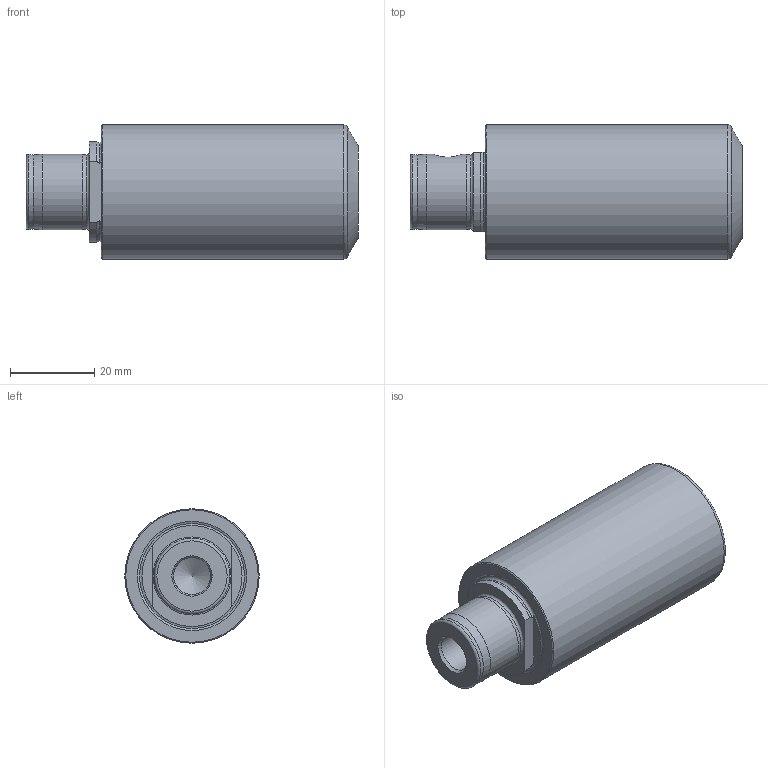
import cadquery as cq
import math

total_length = 79.0

body_radius = 16.0
body_start = 17.9
body_edge_chamfer = 0.25
nose_radius = 11.0
nose_slope = math.radians(60)
nose_blend_radius = 1.0

spigot_radius = 9.0
spigot_end_fillet = 0.65
ring_groove_bottom = 1.7
ring_groove_end = 3.9
groove_depth = 0.2
relief_start = 13.35
relief_bottom = 14.35
relief_depth = 0.2
relief_lip = 0.3

collar_start = 15.0
collar_radius = 12.0
collar_taper_start = 16.7
wrench_size = 19.0

undercut_arc_start = 17.5
undercut_min_radius = 11.7
undercut_arc_end_radius = 12.5
undercut_outer_radius = 13.0
undercut_face_depth = 0.2

bore_radius = 4.4
bore_depth = 16.0
bore_chamfer_width = 0.4
bore_chamfer_length = 0.8
drill_half_angle = math.radians(59)
cross_hole_diameter = 7.0
cross_hole_x = 8.95


diagonal = math.sqrt(0.5)


def concave_arc_middle(start, end):
    """Point on an arc that leaves start roughly along X and reaches end roughly radially."""
    x = start[0] + (end[0] - start[0]) * diagonal
    r = start[1] + (end[1] - start[1]) * (1 - diagonal)
    return (x, r)


def turned_blank():
    """Revolve the outer contour of spigot, collar and body."""
    relief_end = (collar_start, spigot_radius + relief_lip)
    relief_floor = (relief_bottom, spigot_radius - relief_depth)
    undercut_start = (undercut_arc_start, undercut_min_radius)
    undercut_end = (body_start + undercut_face_depth, undercut_arc_end_radius)

    nose_corner = total_length - (body_radius - nose_radius) / math.tan(nose_slope)
    tangent = nose_blend_radius * math.tan(nose_slope / 2)
    blend_start = nose_corner - tangent
    blend_centre_radius = body_radius - nose_blend_radius

    def on_blend(angle):
        x = blend_start + nose_blend_radius * math.sin(angle)
        return (x, blend_centre_radius + nose_blend_radius * math.cos(angle))

    fillet_inset = spigot_end_fillet * (1 - diagonal)
    contour = (
        cq.Workplane("XY")
        .moveTo(0, 0)
        .lineTo(0, spigot_radius - spigot_end_fillet)
        .threePointArc((fillet_inset, spigot_radius - fillet_inset), (spigot_end_fillet, spigot_radius))
        .lineTo(ring_groove_bottom, spigot_radius - groove_depth)
        .lineTo(ring_groove_end, spigot_radius)
        .lineTo(relief_start, spigot_radius)
        .lineTo(*relief_floor)
        .threePointArc(concave_arc_middle(relief_floor, relief_end), relief_end)
        .lineTo(collar_start, collar_radius)
        .lineTo(collar_taper_start, collar_radius)
        .lineTo(*undercut_start)
        .threePointArc(concave_arc_middle(undercut_start, undercut_end), undercut_end)
        .lineTo(body_start, undercut_outer_radius)
        .lineTo(body_start, body_radius - body_edge_chamfer)
        .lineTo(body_start + body_edge_chamfer, body_radius)
        .lineTo(blend_start, body_radius)
        .threePointArc(on_blend(nose_slope / 2), on_blend(nose_slope))
        .lineTo(total_length, nose_radius)
        .lineTo(total_length, 0)
        .close()
    )
    return contour.revolve(360, (0, 0, 0), (1, 0, 0))


def wrench_flat_cutter(side):
    """Block that trims the collar to one flat; side is +1 or -1 along Y."""
    flat_length = body_start - collar_start
    cut_depth = collar_radius - wrench_size / 2
    centre_y = side * (wrench_size / 2 + cut_depth / 2)
    centre_x = collar_start + flat_length / 2
    return cq.Workplane("XY").box(flat_length, cut_depth, 2 * collar_radius).translate((centre_x, centre_y, 0))


def bore_cutter():
    """Chamfered blind bore with a drill-point bottom."""
    tip = bore_depth + bore_radius / math.tan(drill_half_angle)
    return (
        cq.Workplane("XY")
        .moveTo(0, 0)
        .lineTo(0, bore_radius + bore_chamfer_width)
        .lineTo(bore_chamfer_length, bore_radius)
        .lineTo(bore_depth, bore_radius)
        .lineTo(tip, 0)
        .close()
        .revolve(360, (0, 0, 0), (1, 0, 0))
    )


def cross_hole_cutter():
    """Radial hole from the +Y side of the spigot into the bore."""
    hole = cq.Workplane("XZ").center(cross_hole_x, 0).circle(cross_hole_diameter / 2)
    return hole.extrude(-spigot_radius)


result = turned_blank()
for side in (-1, 1):
    result = result.cut(wrench_flat_cutter(side))
result = result.cut(bore_cutter()).cut(cross_hole_cutter())